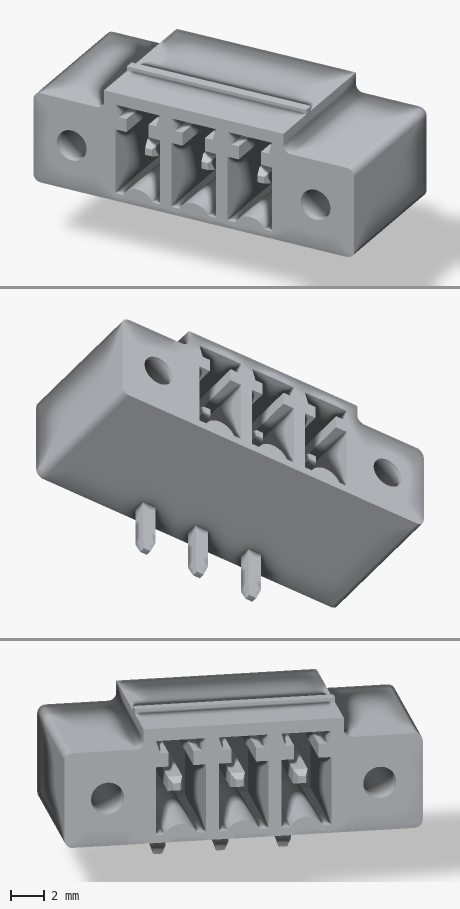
import cadquery as cq

width = 21.82
depth = 9.2
flange_height = 6.0
tower_width = 12.2
tower_height = 7.25
edge_radius = 0.5

ridge_height = 0.3
ridge_width = 0.61
ridge_front = 2.9

hole_diameter = 2.0
hole_spacing = 16.58
hole_depth = 7.0
axis_height = flange_height / 2

contact_count = 3
pitch = 3.82
cavity_width = 3.03
cavity_depth = hole_depth
floor_height = 0.5
neck_bottom = 4.8
neck_top = 5.67
neck_width = 1.5
ceiling_height = 6.45
dovetail_width = 2.53
hump_width = 2.0
hump_height = 0.61

pin_width = 0.9
leg_thickness = 0.8
leg_from_back = 1.2
leg_drop = 3.4
leg_tip_length = 0.6
leg_tip_inset = 0.2
contact_setback = 1.4
contact_tip_length = 0.65
contact_tip_inset = 0.22

leg_y = depth - leg_from_back
contact_x_positions = [(i - (contact_count - 1) / 2) * pitch for i in range(contact_count)]

FRONT = "XZ"


def make_housing():
    flange = (
        cq.Workplane(FRONT)
        .center(0, flange_height / 2)
        .rect(width, flange_height)
        .extrude(-depth)
        .edges("|Y")
        .fillet(edge_radius)
    )
    tower = (
        cq.Workplane(FRONT)
        .center(0, tower_height / 2)
        .rect(tower_width, tower_height)
        .extrude(-depth)
    )
    inner_corners = cq.selectors.BoxSelector(
        (-tower_width / 2 - edge_radius, 0, flange_height - edge_radius),
        (tower_width / 2 + edge_radius, depth, flange_height + edge_radius),
    )
    housing = flange.union(tower).edges("|Y").edges(inner_corners).fillet(edge_radius)
    ridge = cq.Workplane("XY").box(
        tower_width, ridge_width, ridge_height, centered=(True, False, False)
    )
    return housing.union(ridge.translate((0, ridge_front, tower_height)))


def make_mounting_holes():
    return (
        cq.Workplane(FRONT)
        .pushPoints([(-hole_spacing / 2, axis_height), (hole_spacing / 2, axis_height)])
        .circle(hole_diameter / 2)
        .extrude(-hole_depth)
    )


def make_cavity():
    """Keyhole-like pocket with a dovetail above the neck and a rounded hump on its floor."""
    return (
        cq.Workplane(FRONT)
        .moveTo(-cavity_width / 2, floor_height)
        .lineTo(-hump_width / 2, floor_height)
        .threePointArc((0, floor_height + hump_height), (hump_width / 2, floor_height))
        .lineTo(cavity_width / 2, floor_height)
        .lineTo(cavity_width / 2, neck_bottom)
        .lineTo(neck_width / 2, neck_bottom)
        .lineTo(neck_width / 2, neck_top)
        .lineTo(dovetail_width / 2, neck_top)
        .lineTo(cavity_width / 2, ceiling_height)
        .lineTo(-cavity_width / 2, ceiling_height)
        .lineTo(-dovetail_width / 2, neck_top)
        .lineTo(-neck_width / 2, neck_top)
        .lineTo(-neck_width / 2, neck_bottom)
        .lineTo(-cavity_width / 2, neck_bottom)
        .close()
        .extrude(-cavity_depth)
    )


def make_prong(plane, thickness, length, tip_length, tip_inset):
    """Straight bar along the plane's normal; its far end tapers evenly on all four sides."""
    shank_length = length - tip_length
    shank = cq.Workplane(plane).rect(pin_width, thickness).extrude(shank_length)
    tip = (
        cq.Workplane(plane)
        .workplane(offset=shank_length)
        .rect(pin_width, thickness)
        .workplane(offset=tip_length)
        .rect(pin_width - 2 * tip_inset, thickness - 2 * tip_inset)
        .loft()
    )
    return shank.union(tip)


def make_pin():
    """Both prongs start at the bend, one pointing forward and the other down."""
    bend = (0, leg_y, axis_height)
    forward = cq.Plane(bend, xDir=(1, 0, 0), normal=(0, -1, 0))
    downward = cq.Plane(bend, xDir=(1, 0, 0), normal=(0, 0, -1))
    contact = make_prong(forward, pin_width, leg_y - contact_setback, contact_tip_length, contact_tip_inset)
    leg = make_prong(downward, leg_thickness, axis_height + leg_drop, leg_tip_length, leg_tip_inset)
    return contact.union(leg)


result = make_housing().cut(make_mounting_holes())
for x in contact_x_positions:
    result = result.cut(make_cavity().translate((x, 0, 0)))
    result = result.union(make_pin().translate((x, 0, 0)))